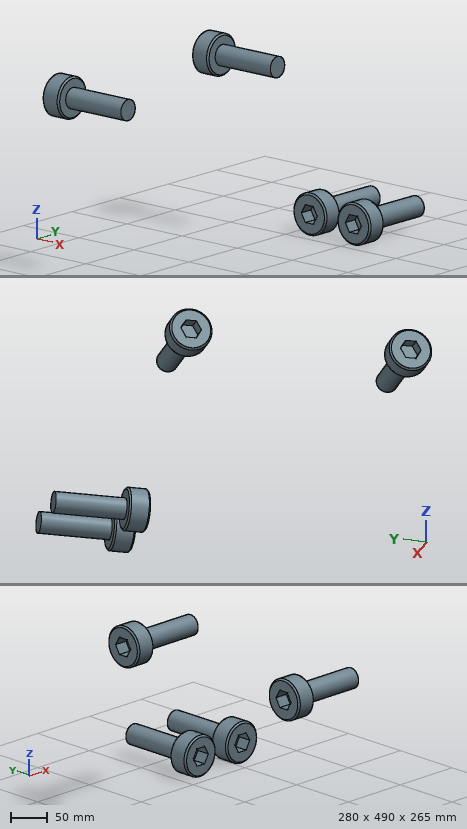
import cadquery as cq
import math

head_diameter = 60.0
head_length = 30.0
head_edge_chamfer = 2.5
shank_diameter = 30.0
shank_length = 100.0
socket_across_flats = 25.0
socket_corner_diameter = socket_across_flats / math.cos(math.pi / 6)
socket_depth = 20.0

screws_per_pair = 2
side_screw_spacing = 310.0
front_screw_first_x = 170.0
front_screw_spacing = 80.0
front_screw_head_offset = 20.0
front_screw_head_y = side_screw_spacing + front_screw_head_offset
front_screw_drop = 205.0


def socket_screw(head_face):
    """Build a screw on a plane through its head face whose normal points towards the shank tip."""
    head = cq.Workplane(head_face).circle(head_diameter / 2).extrude(head_length)
    head = head.edges("%CIRCLE").chamfer(head_edge_chamfer)
    shank = (
        cq.Workplane(head_face)
        .workplane(offset=head_length)
        .circle(shank_diameter / 2)
        .extrude(shank_length)
    )
    socket = cq.Workplane(head_face).polygon(6, socket_corner_diameter).extrude(socket_depth)
    return head.union(shank).cut(socket)


side_screws = []
for index in range(screws_per_pair):
    origin = (0, index * side_screw_spacing, 0)
    head_face = cq.Plane(origin=origin, xDir=(0, 1, 0), normal=(1, 0, 0))
    side_screws.append(socket_screw(head_face))

front_screws = []
for index in range(screws_per_pair):
    origin = (front_screw_first_x + index * front_screw_spacing, front_screw_head_y, -front_screw_drop)
    head_face = cq.Plane(origin=origin, xDir=(1, 0, 0), normal=(0, 1, 0))
    front_screws.append(socket_screw(head_face))

result = cq.Compound.makeCompound([screw.val() for screw in side_screws + front_screws])